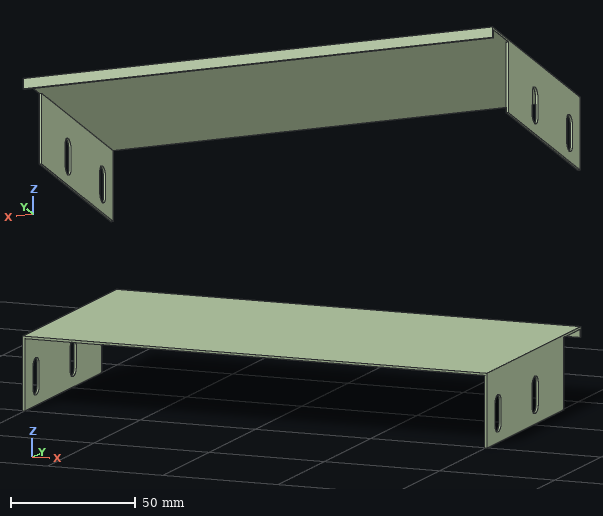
import cadquery as cq

length = 201.5
width = 101.8
height = 30.8
thickness = 1.0

flange_width = 83.3
lip_height = 4.5

slot_width = 6.5
slot_height = 15.3
slot_center_height = 12.0
front_slot_offset = 12.3
slot_spacing = 40.1

front_y = -width / 2


def corner_box(x_size, y_size, z_size, x, y, z):
    """Box with its minimum corner at (x, y, z)."""
    return cq.Workplane("XY").box(x_size, y_size, z_size, centered=False).translate((x, y, z))


top_plate = corner_box(length, width, thickness, -length / 2, front_y, height - thickness)

left_flange = corner_box(thickness, flange_width, height, -length / 2, front_y, 0)
right_flange = left_flange.mirror("YZ")

rear_lip = corner_box(length, thickness, lip_height, -length / 2, width / 2 - thickness, height - lip_height)

first_slot_y = front_y + front_slot_offset
slot_centers = [(first_slot_y + i * slot_spacing, slot_center_height) for i in range(2)]
slots = (
    cq.Workplane("YZ")
    .pushPoints(slot_centers)
    .slot2D(slot_height, slot_width, 90)
    .extrude(length / 2, both=True)
)

result = top_plate.union(left_flange).union(right_flange).union(rear_lip).cut(slots)